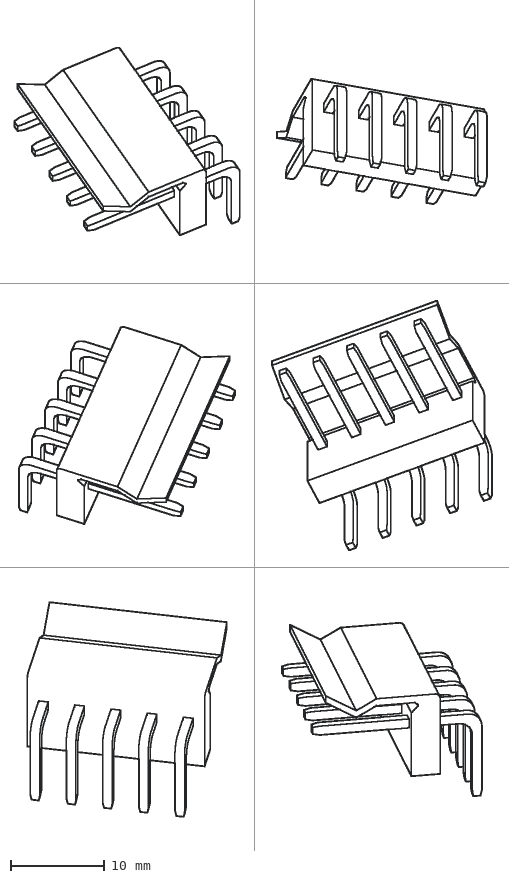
import cadquery as cq

body_length = 19.4
body_depth = 3.18
body_height = 9.43
back_edge_radius = 0.6

latch_thickness = 0.81
latch_bend_reach = 3.8
latch_valley_reach = 6.03
latch_tip_reach = 9.37
latch_valley_height = 8.23
latch_tip_height = 10.25

notch_depth = 0.78
notch_upper_rise = notch_depth / 2

pin_count = 5
pin_pitch = 3.95
pin_width = 1.05
pin_axis_height = 5.66
pin_front_reach = 10.51
pin_back_reach = 8.0
pin_drop = 3.55
pin_bend_radius = 1.5
pin_taper_length = 0.75
pin_tip_width = 0.8


def make_body():
    """Wall and latch as one profile in the YZ plane, extruded along X."""
    latch_underside = body_height - latch_thickness
    notch_apex_height = latch_underside - notch_upper_rise
    front_face_top = notch_apex_height - notch_depth

    profile = (
        cq.Workplane("YZ", origin=(-body_length / 2, 0, 0))
        .moveTo(0, 0)
        .lineTo(body_depth, 0)
        .lineTo(body_depth, body_height - back_edge_radius)
        .radiusArc((body_depth - back_edge_radius, body_height), -back_edge_radius)
        .lineTo(-latch_bend_reach, body_height)
        .lineTo(-latch_valley_reach, latch_valley_height)
        .lineTo(-latch_tip_reach, latch_tip_height)
        .lineTo(-latch_tip_reach, latch_tip_height - latch_thickness)
        .lineTo(-latch_valley_reach, latch_valley_height - latch_thickness)
        .lineTo(-latch_bend_reach, latch_underside)
        .lineTo(notch_depth - notch_upper_rise, latch_underside)
        .lineTo(notch_depth, notch_apex_height)
        .lineTo(0, front_face_top)
        .close()
    )
    return profile.extrude(body_length)


def make_taper(base_plane):
    """Tapered pin end growing outward from the given plane."""
    return (
        cq.Workplane(base_plane)
        .rect(pin_width, pin_width)
        .workplane(offset=pin_taper_length)
        .rect(pin_tip_width, pin_tip_width)
        .loft()
    )


def make_pin(x):
    """Right-angle pin centred on x: front contact, rear bend and downward tail."""
    front = pin_taper_length - pin_front_reach
    tail_end = pin_taper_length - pin_drop
    top = pin_axis_height + pin_width / 2
    bottom = top - pin_width
    back_inner = pin_back_reach - pin_width

    wire = (
        cq.Workplane("YZ", origin=(x - pin_width / 2, 0, 0))
        .moveTo(front, top)
        .lineTo(pin_back_reach - pin_bend_radius, top)
        .radiusArc((pin_back_reach, top - pin_bend_radius), pin_bend_radius)
        .lineTo(pin_back_reach, tail_end)
        .lineTo(back_inner, tail_end)
        .lineTo(back_inner, bottom - pin_bend_radius)
        .radiusArc((back_inner - pin_bend_radius, bottom), -pin_bend_radius)
        .lineTo(front, bottom)
        .close()
        .extrude(pin_width)
    )
    tail_axis = pin_back_reach - pin_width / 2
    front_plane = cq.Plane(origin=(x, front, pin_axis_height), xDir=(1, 0, 0), normal=(0, -1, 0))
    tail_plane = cq.Plane(origin=(x, tail_axis, tail_end), xDir=(1, 0, 0), normal=(0, 0, -1))
    return wire.union(make_taper(front_plane)).union(make_taper(tail_plane))


result = make_body()
for pin_index in range(pin_count):
    pin_x = (pin_index - (pin_count - 1) / 2) * pin_pitch
    result = result.union(make_pin(pin_x))